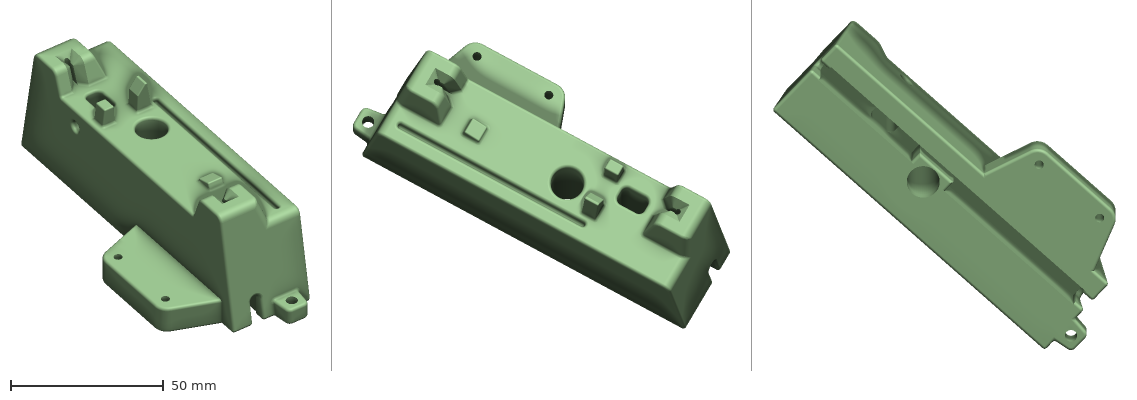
import cadquery as cq
import math

overall_length = 128.5
overall_height = 45.5

body_length = 121.6
body_depth = 31.1
deck_height = 34.8
end_draft = 10
end_round = 3.0
edge_round = 1.0

tower_height = 44.0
tower_slope = 20
tower_top_inner = 19.7
tower_back_base = 19.0

guide_y = 8.1
guide_width = 1.3
guide_end = 15.7
guide_chamfer = 2.7
guide_hole_x = 15.5
guide_hole_diameter = 2.0

round_hole_x = 53.0
round_hole_y = 15.4
round_hole_diameter = 10.8
oval_x = 31.4
oval_length = 10.0
oval_width = 6.2
oval_corner = 2.0
groove_start = 39.8
groove_end = 112.1
groove_y = 25.2
groove_mouth_width = 3.6
groove_depth = 2.0

front_hole_x = 31.2
front_hole_z = 28.1
front_hole_diameter = 4.0
front_hole_depth = 4.0

cable_y = 10.0
notch_width = 4.0
notch_height = 10.2
end_wall = 4.0
neck_width = 2.0
neck_length = 14.9

plate_x = 90.4
plate_root_width = 49.2
plate_reach = 19.4
plate_height = 10.0
plate_slope = 20
plate_corner = 5.0
plate_hole_spacing = 27.0
plate_hole_y = -14.7
plate_hole_diameter = 3.0

ear_height = 6.3
ear_y = 21.5
ear_root_width = 10.0
ear_tip_width = 8.2
ear_corner = 2.0
ear_hole_x = 124.4
ear_hole_diameter = 4.0

post_left = 38.7
post_width = 5.1
tall_post_back = 22.0
tall_post_front = 16.1
tall_ridge_back = 20.2
tall_ridge_front = 19.3
tall_shoulder_y = 16.3
tall_shoulder_z = 41.6
short_post_back = 7.3
short_post_front = 2.3
short_top_back = 7.0
short_top_front = 3.1
short_post_height = 41.8
pad_left = 84.7
pad_right = 91.4
pad_front = 11.8
pad_back = 17.6
pad_low_x = 85.1
pad_low_z = 36.1
pad_high_x = 90.4
pad_high_z = 37.5
post_round = 0.5
ridge_round = 0.4

tower_rise = tower_height - deck_height
slope_run = tower_rise * math.tan(math.radians(tower_slope))
tower_base_inner = tower_top_inner + slope_run
tower_back_top = tower_back_base - slope_run
draft = math.tan(math.radians(end_draft))
foot_trim = edge_round * (1 / math.cos(math.radians(end_draft)) + draft - 1)
low_end = deck_height * draft - foot_trim
high_end = tower_height * draft - foot_trim
ear_length = overall_length - body_length
pick_margin = 0.1


def mirrored(shape):
    return shape.mirror("YZ", (body_length / 2, 0, 0))


def block(low, high):
    size = [b - a for a, b in zip(low, high)]
    return cq.Workplane("XY").box(*size, centered=False).translate(low)


def edges_within(low, high, slack=pick_margin):
    """Selector for edges whose centres lie between two corners, give or take the slack."""
    return cq.selectors.BoxSelector(
        tuple(v - slack for v in low),
        tuple(v + slack for v in high),
    )


def edges_within_both(low, high, slack=pick_margin):
    """As edges_within, at the given place and at its mirror image."""
    mirror_low = (body_length - high[0], low[1], low[2])
    mirror_high = (body_length - low[0], high[1], high[2])
    return edges_within(low, high, slack) + edges_within(mirror_low, mirror_high, slack)


def edges_at_both(points):
    """Edges centred near the points; the slack allows for ends trimmed by other rounds."""
    selector = edges_within_both(points[0], points[0], edge_round)
    for point in points[1:]:
        selector = selector + edges_within_both(point, point, edge_round)
    return selector


def make_sharp_body():
    left = [
        (-foot_trim, 0),
        (high_end, tower_height),
        (tower_top_inner, tower_height),
        (tower_base_inner, deck_height),
    ]
    right = [(body_length - x, z) for x, z in reversed(left)]
    body = cq.Workplane("XZ").polyline(left + right).close().extrude(-body_depth)
    behind_towers = (
        cq.Workplane("YZ")
        .moveTo(tower_back_base, deck_height)
        .lineTo(tower_back_top, tower_height)
        .lineTo(body_depth, tower_height)
        .lineTo(body_depth, deck_height)
        .close()
        .extrude(body_length)
    )
    return body.cut(behind_towers)


def round_tower_tops(body):
    slope_y = (tower_back_base + tower_back_top) / 2
    slope_z = (deck_height + tower_height) / 2
    wide_rounds = [
        (tower_top_inner, tower_back_top / 2, tower_height),
        (high_end, tower_back_top / 2, tower_height),
        ((low_end + high_end) / 2, slope_y, slope_z),
        (low_end, (tower_back_base + body_depth) / 2, deck_height),
    ]
    back_rounds = [
        ((high_end + tower_top_inner) / 2, tower_back_top, tower_height),
        ((tower_top_inner + tower_base_inner) / 2, slope_y, slope_z),
    ]
    body = body.edges(edges_at_both(wide_rounds)).fillet(end_round)
    return body.edges(edges_at_both(back_rounds)).fillet(edge_round)


def cut_guides(body):
    """Slit in each tower, chamfered along its top edges and down the sloped inner face."""
    low = (guide_end, guide_y - guide_width / 2, deck_height)
    high = (tower_base_inner + edge_round, guide_y + guide_width / 2, tower_height)
    slit = block(low, high)
    body = body.cut(slit).cut(mirrored(slit))
    rim = edges_within_both((low[0], low[1], deck_height + tower_rise / 3), high)
    upright = cq.selectors.ParallelDirSelector(cq.Vector(0, 0, 1))
    return body.edges(rim - upright).chamfer(guide_chamfer)


def round_tower_feet(body):
    foot = edges_within_both(
        (low_end, edge_round, deck_height),
        (tower_base_inner, tower_back_base, deck_height),
    )
    slit = edges_within_both(
        (guide_end, guide_y - guide_width / 2, deck_height),
        (tower_base_inner, guide_y + guide_width / 2, deck_height),
    )
    return body.edges(foot - slit).fillet(edge_round)


def make_body():
    body = make_sharp_body()
    body = round_tower_tops(body)
    body = cut_guides(body)
    body = round_tower_feet(body)
    body = body.faces("<Y or >Y or <Z").edges().fillet(edge_round)
    guide_hole = (
        cq.Workplane("XY", origin=(guide_hole_x, guide_y, deck_height))
        .circle(guide_hole_diameter / 2)
        .extrude(tower_rise)
    )
    return body.cut(guide_hole).cut(mirrored(guide_hole))


def cut_trench(body):
    """Cable trench that narrows beside the round hole, with an arched notch at each end."""
    trench_front = cable_y - oval_width / 2
    trench_back = cable_y + oval_width / 2
    trench = block((end_wall, trench_front, 0), (body_length - end_wall, trench_back, notch_height))
    neck_wall = block(
        (round_hole_x - neck_length / 2, trench_front + neck_width, 0),
        (round_hole_x + neck_length / 2, trench_back + edge_round, notch_height),
    )
    neck_wall = neck_wall.edges("(<Z and |Y) or (<Z and <Y)").fillet(edge_round)
    body = body.cut(trench.cut(neck_wall))

    arch_radius = notch_width / 2
    notch = (
        cq.Workplane("YZ", origin=(0, cable_y, 0))
        .moveTo(-arch_radius, 0)
        .lineTo(-arch_radius, notch_height - arch_radius)
        .threePointArc((0, notch_height), (arch_radius, notch_height - arch_radius))
        .lineTo(arch_radius, 0)
        .close()
        .extrude(end_wall)
    )
    body = body.cut(notch).cut(mirrored(notch))
    rim = edges_within_both(
        (0, cable_y - arch_radius, 2 * pick_margin),
        (notch_height * draft, cable_y + arch_radius, notch_height),
    )
    return body.edges(rim).fillet(edge_round)


def make_plate():
    half_root = plate_root_width / 2
    half_tip = half_root - plate_reach * math.tan(math.radians(plate_slope))
    plate = (
        cq.Workplane("XY")
        .moveTo(plate_x - half_root, 0)
        .lineTo(plate_x - half_tip, -plate_reach)
        .lineTo(plate_x + half_tip, -plate_reach)
        .lineTo(plate_x + half_root, 0)
        .close()
        .extrude(plate_height)
    )
    plate = plate.edges("|Z and <Y").fillet(plate_corner)
    plate = plate.faces("<Z or >Z").edges("not >Y").fillet(edge_round)
    root = plate.faces(">Y").wires().toPending().workplane().extrude(2 * edge_round)
    return plate.union(root)


def add_ear(solid):
    half_tip = ear_tip_width / 2
    half_root = ear_root_width / 2
    embed = end_wall
    half_inside = half_root + (half_root - half_tip) * embed / ear_length
    ear = (
        cq.Workplane("XY")
        .moveTo(body_length - embed, ear_y - half_inside)
        .lineTo(overall_length, ear_y - half_tip)
        .lineTo(overall_length, ear_y + half_tip)
        .lineTo(body_length - embed, ear_y + half_inside)
        .close()
        .extrude(ear_height)
    )
    ear = ear.edges("|Z and >X").fillet(ear_corner)
    ear = ear.faces("<Z or >Z").edges().fillet(edge_round)
    seam = edges_within(
        (body_length - ear_height * draft - edge_round, ear_y - half_root, edge_round + pick_margin),
        (body_length, ear_y + half_root, ear_height),
    )
    return solid.union(ear).edges(seam).fillet(edge_round)


def round_deck_rim(solid, x_range, y_range):
    """Round the edges that lie on the deck inside a rectangle."""
    low = (x_range[0], y_range[0], deck_height)
    high = (x_range[1], y_range[1], deck_height)
    return solid.edges(edges_within(low, high)).fillet(edge_round)


def cut_opening(solid, cutter):
    size = cutter.val().BoundingBox()
    return round_deck_rim(solid.cut(cutter), (size.xmin, size.xmax), (size.ymin, size.ymax))


def make_groove():
    """Round-bottomed groove with round ends, before its rim is rounded."""
    radius = groove_mouth_width / 2 - edge_round
    first_x = groove_start + edge_round + radius
    run = groove_end - groove_start - 2 * (edge_round + radius)
    bottom_z = deck_height - groove_depth + radius
    groove = (
        cq.Workplane("XY", origin=(first_x + run / 2, groove_y, bottom_z))
        .slot2D(run + 2 * radius, 2 * radius)
        .extrude(groove_depth - radius)
    )
    bottom = cq.Workplane("YZ", origin=(first_x, groove_y, bottom_z)).circle(radius).extrude(run)
    for x in (first_x, first_x + run):
        bottom = bottom.union(cq.Workplane("XY").sphere(radius).translate((x, groove_y, bottom_z)))
    return groove.union(bottom)


def cut_deck_openings(solid):
    round_hole = (
        cq.Workplane("XY", origin=(round_hole_x, round_hole_y, 0))
        .circle(round_hole_diameter / 2)
        .extrude(deck_height)
    )
    oval = block(
        (oval_x - oval_length / 2, cable_y - oval_width / 2, 0),
        (oval_x + oval_length / 2, cable_y + oval_width / 2, deck_height),
    )
    oval = oval.edges("|Z").fillet(oval_corner)
    for cutter in (round_hole, oval, make_groove()):
        solid = cut_opening(solid, cutter)
    return solid


def add_on_deck(solid, shape):
    size = shape.val().BoundingBox()
    return round_deck_rim(solid.union(shape), (size.xmin, size.xmax), (size.ymin, size.ymax))


def make_post(outline, top_round):
    post = cq.Workplane("YZ", origin=(post_left, 0, 0)).polyline(outline).close().extrude(post_width)
    return post.edges("not <Z").fillet(top_round)


def make_tall_post():
    outline = [
        (tall_post_back, deck_height),
        (tall_ridge_back, overall_height),
        (tall_ridge_front, overall_height),
        (tall_shoulder_y, tall_shoulder_z),
        (tall_post_front, deck_height),
    ]
    return make_post(outline, ridge_round)


def make_short_post():
    outline = [
        (short_post_back, deck_height),
        (short_top_back, short_post_height),
        (short_top_front, short_post_height),
        (short_post_front, deck_height),
    ]
    return make_post(outline, post_round)


def make_pad():
    outline = [
        (pad_left, deck_height),
        (pad_low_x, pad_low_z),
        (pad_high_x, pad_high_z),
        (pad_right, deck_height),
    ]
    pad = cq.Workplane("XZ", origin=(0, pad_back, 0)).polyline(outline).close().extrude(pad_back - pad_front)
    return pad.edges("not <Z").fillet(post_round)


def cut_front_hole(solid):
    radius = front_hole_diameter / 2
    hole = cq.Workplane("XZ", origin=(front_hole_x, 0, front_hole_z)).circle(radius).extrude(-front_hole_depth)
    rim = edges_within(
        (front_hole_x - radius, 0, front_hole_z - radius),
        (front_hole_x + radius, 0, front_hole_z + radius),
    )
    return solid.cut(hole).edges(rim).fillet(edge_round)


def cut_fixing_holes(solid):
    half_spacing = plate_hole_spacing / 2
    fixing_holes = [
        (plate_x - half_spacing, plate_hole_y, plate_hole_diameter),
        (plate_x + half_spacing, plate_hole_y, plate_hole_diameter),
        (ear_hole_x, ear_y, ear_hole_diameter),
    ]
    for x, y, diameter in fixing_holes:
        hole = cq.Workplane("XY", origin=(x, y, 0)).circle(diameter / 2).extrude(plate_height)
        solid = solid.cut(hole)
    return solid


result = make_body()
result = cut_trench(result)
result = result.union(make_plate())
result = add_ear(result)
result = cut_deck_openings(result)
for deck_part in (make_tall_post(), make_short_post(), make_pad()):
    result = add_on_deck(result, deck_part)
result = cut_front_hole(result)
result = cut_fixing_holes(result)